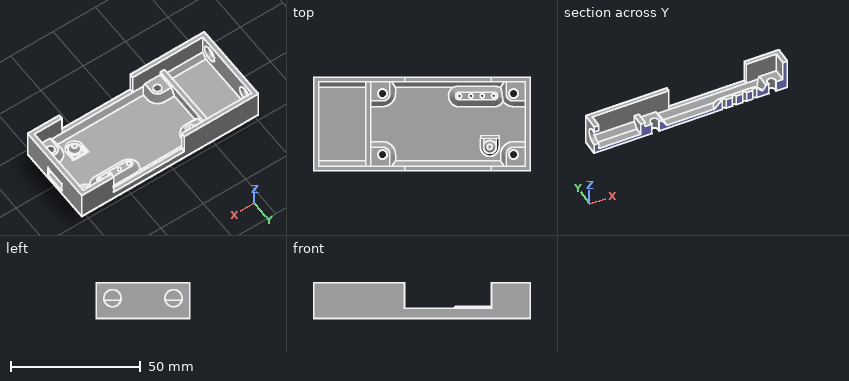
import cadquery as cq

LENGTH = 83.4
WIDTH = 36.1
HEIGHT = 13.85
END_WALL = 2.0
SIDE_WALL = 1.8
FLOOR = 1.85

SILL_HEIGHT = 4.0
OPENING_FROM_LEFT = 35.0
OPENING_FROM_RIGHT = 15.0

SCREW_SPACING_X = 50.45
SCREW_SPACING_Y = 23.5
SCREW_TO_WALL = 4.45
SCREW_HOLE_DIAMETER = 3.4
BOSS_TOP_DIAMETER = 5.7
BOSS_SLOPE_RUN = 2.15
BOSS_TOP = 5.15

DIVIDER_THICKNESS = 2.0
DIVIDER_TOP = 7.0

CABLE_HOLE_DIAMETER = 6.6
CABLE_HOLE_HEIGHT = 7.85
CABLE_HOLE_SPACING = 23.5

WINDOW_WIDTH = 11.3
WINDOW_FLARE_DEPTH = 1.15
WINDOW_FLARE_WIDTH = 0.9
WINDOW_TOP = 6.35

PIN_HOLE_DIAMETER = 1.5
PIN_COUNT = 4
PIN_PITCH = 4.4
PIN_ROW_FROM_LEFT = 62.7
PIN_ROW_Y = 10.85
PIN_BAR_TOP = 4.7
PIN_BAR_TOP_RADIUS = 1.5
PIN_BAR_SLOPE_RUN = 2.7

BUTTON_FROM_LEFT = 67.8
BUTTON_Y = -8.8
BUTTON_DIAMETER = 5.0
BUTTON_TIP_DIAMETER = 2.0
BUTTON_TOP = 3.5
BUTTON_GAP = 1.05
BUTTON_ROOT_Y = -4.4
TONGUE_THICKNESS = 0.8

LEFT = -LENGTH / 2
RIGHT = LENGTH / 2
INNER_LEFT = LEFT + END_WALL
INNER_RIGHT = RIGHT - END_WALL
INNER_LENGTH = LENGTH - 2 * END_WALL
INNER_WIDTH = WIDTH - 2 * SIDE_WALL
INNER_SIDE = INNER_WIDTH / 2
RIGHT_SCREW_X = INNER_RIGHT - SCREW_TO_WALL
LEFT_SCREW_X = RIGHT_SCREW_X - SCREW_SPACING_X
SCREW_Y = SCREW_SPACING_Y / 2
DIVIDER_RIGHT = LEFT_SCREW_X - SCREW_TO_WALL
PIN_ROW_X = LEFT + PIN_ROW_FROM_LEFT
PIN_ROW_LENGTH = (PIN_COUNT - 1) * PIN_PITCH
BUTTON_X = LEFT + BUTTON_FROM_LEFT
BUTTON_RADIUS = BUTTON_DIAMETER / 2
BUTTON_SLOT_RADIUS = BUTTON_RADIUS + BUTTON_GAP

FILLER_SIZE = SILL_HEIGHT - FLOOR
TONGUE_RAMP = FLOOR - TONGUE_THICKNESS


def box(x0, x1, y0, y1, z0, z1):
    """Block between two opposite corners."""
    return cq.Workplane("XY").box(x1 - x0, y1 - y0, z1 - z0, centered=False).translate((x0, y0, z0))


def tray():
    """Open tray with low sills in both side walls."""
    body = box(LEFT, RIGHT, -WIDTH / 2, WIDTH / 2, 0, HEIGHT)
    cavity = box(INNER_LEFT, INNER_RIGHT, -INNER_SIDE, INNER_SIDE, FLOOR, HEIGHT)
    openings = box(
        LEFT + OPENING_FROM_LEFT, RIGHT - OPENING_FROM_RIGHT, -WIDTH / 2, WIDTH / 2, SILL_HEIGHT, HEIGHT
    )
    return body.cut(cavity).cut(openings)


def wall_filler(side):
    """Triangular strip along the foot of one side wall."""
    return (
        cq.Workplane("YZ", origin=(INNER_LEFT, 0, 0))
        .moveTo(side * INNER_SIDE, FLOOR)
        .lineTo(side * (INNER_SIDE - FILLER_SIZE), FLOOR)
        .lineTo(side * INNER_SIDE, FLOOR + FILLER_SIZE)
        .close()
        .extrude(INNER_LENGTH)
    )


def screw_boss(x, y):
    """Sloped corner boss: a round-cornered block that widens downwards, kept inside its bay."""
    toward_end = 1 if x > 0 else -1
    toward_side = 1 if y > 0 else -1
    top_radius = BOSS_TOP_DIAMETER / 2
    base_radius = top_radius + BOSS_SLOPE_RUN
    reach = 2 * SCREW_TO_WALL

    def outline(level, radius):
        size = reach + 2 * radius
        return (
            cq.Sketch()
            .rect(size, size)
            .vertices()
            .fillet(radius)
            .moved(cq.Location(cq.Vector(x + toward_end * reach / 2, y + toward_side * reach / 2, level)))
        )

    block = cq.Workplane("XY").placeSketch(outline(FLOOR, base_radius), outline(BOSS_TOP, top_radius)).loft()
    bay = box(DIVIDER_RIGHT, INNER_RIGHT, -INNER_SIDE, INNER_SIDE, FLOOR, BOSS_TOP)
    return block.intersect(bay)


def divider():
    """Low cross wall between the bays."""
    return box(DIVIDER_RIGHT - DIVIDER_THICKNESS, DIVIDER_RIGHT, -INNER_SIDE, INNER_SIDE, FLOOR, DIVIDER_TOP)


def pin_bar():
    """Raised bar with sloping sides and round ends."""
    base_radius = PIN_BAR_TOP_RADIUS + PIN_BAR_SLOPE_RUN
    return (
        cq.Workplane("XY", origin=(PIN_ROW_X, PIN_ROW_Y, FLOOR))
        .slot2D(PIN_ROW_LENGTH + 2 * base_radius, 2 * base_radius)
        .workplane(offset=PIN_BAR_TOP - FLOOR)
        .slot2D(PIN_ROW_LENGTH + 2 * PIN_BAR_TOP_RADIUS, 2 * PIN_BAR_TOP_RADIUS)
        .loft(ruled=True)
    )


def vertical_holes(points, diameter):
    """Round holes from the underside up to the level of the screw boss tops."""
    return cq.Workplane("XY").pushPoints(points).circle(diameter / 2).extrude(BOSS_TOP)


def cable_holes():
    """Two round holes through the left end wall."""
    return (
        cq.Workplane("YZ", origin=(LEFT, 0, CABLE_HOLE_HEIGHT))
        .pushPoints([(-CABLE_HOLE_SPACING / 2, 0), (CABLE_HOLE_SPACING / 2, 0)])
        .circle(CABLE_HOLE_DIAMETER / 2)
        .extrude(END_WALL)
    )


def window():
    """Opening through the right end wall, narrowing outwards to a short straight throat."""
    inner = WINDOW_WIDTH / 2
    outer = inner - WINDOW_FLARE_WIDTH
    throat_x = INNER_RIGHT + WINDOW_FLARE_DEPTH
    outline = [
        (INNER_RIGHT, -inner),
        (throat_x, -outer),
        (RIGHT, -outer),
        (RIGHT, outer),
        (throat_x, outer),
        (INNER_RIGHT, inner),
    ]
    return cq.Workplane("XY", origin=(0, 0, FLOOR)).polyline(outline).close().extrude(WINDOW_TOP - FLOOR)


def tongue_outline(radius):
    """Strip from the hinge line with a half-round free end around the button."""
    return (
        cq.Workplane("XY")
        .moveTo(BUTTON_X - radius, BUTTON_ROOT_Y)
        .lineTo(BUTTON_X - radius, BUTTON_Y)
        .threePointArc((BUTTON_X, BUTTON_Y - radius), (BUTTON_X + radius, BUTTON_Y))
        .lineTo(BUTTON_X + radius, BUTTON_ROOT_Y)
        .close()
    )


def button():
    """Thin tongue with a ramp at its root; its free end carries a shank to floor level and a cone."""
    tongue = tongue_outline(BUTTON_RADIUS).extrude(TONGUE_THICKNESS)
    ramp = (
        cq.Workplane("YZ", origin=(BUTTON_X - BUTTON_SLOT_RADIUS, 0, 0))
        .moveTo(BUTTON_ROOT_Y, 0)
        .lineTo(BUTTON_ROOT_Y - TONGUE_RAMP, 0)
        .lineTo(BUTTON_ROOT_Y - TONGUE_RAMP, TONGUE_THICKNESS)
        .lineTo(BUTTON_ROOT_Y, FLOOR)
        .close()
        .extrude(2 * BUTTON_SLOT_RADIUS)
    )
    shank = cq.Workplane("XY").center(BUTTON_X, BUTTON_Y).circle(BUTTON_RADIUS).extrude(FLOOR)
    cone = (
        shank.faces(">Z")
        .workplane()
        .circle(BUTTON_RADIUS)
        .workplane(offset=BUTTON_TOP - FLOOR)
        .circle(BUTTON_TIP_DIAMETER / 2)
        .loft()
    )
    return tongue.union(ramp).union(shank).union(cone)


screw_points = [(x, y) for x in (LEFT_SCREW_X, RIGHT_SCREW_X) for y in (-SCREW_Y, SCREW_Y)]
pin_points = [(PIN_ROW_X - PIN_ROW_LENGTH / 2 + i * PIN_PITCH, PIN_ROW_Y) for i in range(PIN_COUNT)]

result = tray().union(divider()).union(pin_bar())
for wall_side in (-1, 1):
    result = result.union(wall_filler(wall_side))
for screw_x, screw_y in screw_points:
    result = result.union(screw_boss(screw_x, screw_y))
result = result.cut(vertical_holes(screw_points, SCREW_HOLE_DIAMETER))
result = result.cut(vertical_holes(pin_points, PIN_HOLE_DIAMETER))
result = result.cut(cable_holes()).cut(window())
result = result.cut(tongue_outline(BUTTON_SLOT_RADIUS).extrude(FLOOR)).union(button())